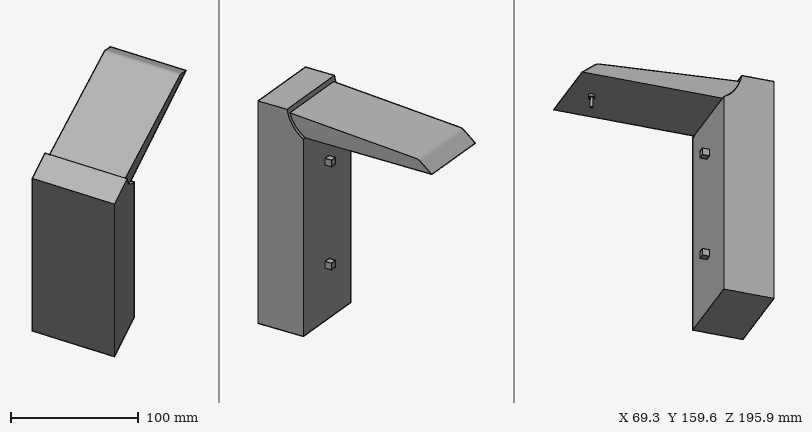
import cadquery as cq
import math

COLUMN_HEIGHT = 195.9
COLUMN_WIDTH = 69.3
COLUMN_DEPTH = 42.1
COLUMN_TOP_DEPTH = 27.0
SCOOP_RADIUS = 31.3

ARM_WIDTH = 63.9
ARM_REACH = 159.6
ARM_BOTTOM_Z = 173.7
ARM_ROOT_Y = COLUMN_TOP_DEPTH
ARM_ROOT_Z = 192.0
ARM_TAPER = 3.9
NOSE_ANGLE = 39.0
NOSE_BLEND_RADIUS = 7.8

PEG_SIDE = 5.9
PEG_LENGTH = 5.9
PEG_HEIGHTS = (49.5, 140.2)

PIN_Y = 139.6
PIN_HEAD_DIAMETER = 5.3
PIN_HEAD_HEIGHT = 2.2
PIN_DIAMETER = 2.4
PIN_LENGTH = 10.5


def extrude_across(profile, width):
    """Close a YZ profile and extrude it symmetrically about X = 0."""
    return profile.close().extrude(width / 2, both=True)


def make_column():
    """Block whose upper back edge is hollowed by a concave arc."""
    profile = (
        cq.Workplane("YZ")
        .lineTo(COLUMN_DEPTH, 0)
        .lineTo(COLUMN_DEPTH, ARM_BOTTOM_Z)
        .radiusArc((COLUMN_TOP_DEPTH, COLUMN_HEIGHT), SCOOP_RADIUS)
        .lineTo(0, COLUMN_HEIGHT)
    )
    return extrude_across(profile, COLUMN_WIDTH)


def make_arm():
    """Tapered beam with a sloping nose blended into its top face."""
    taper = math.tan(math.radians(ARM_TAPER))
    nose = math.tan(math.radians(NOSE_ANGLE))

    nose_z_at_root = ARM_BOTTOM_Z + nose * (ARM_REACH - ARM_ROOT_Y)
    top_length = (nose_z_at_root - ARM_ROOT_Z) / (nose - taper)
    corner_y = ARM_ROOT_Y + top_length
    corner_z = ARM_ROOT_Z - taper * top_length

    profile = (
        cq.Workplane("YZ")
        .moveTo(ARM_ROOT_Y, ARM_BOTTOM_Z)
        .lineTo(ARM_REACH, ARM_BOTTOM_Z)
        .lineTo(corner_y, corner_z)
        .lineTo(ARM_ROOT_Y, ARM_ROOT_Z)
    )
    arm = extrude_across(profile, ARM_WIDTH)
    corner = cq.selectors.NearestToPointSelector((0, corner_y, corner_z))
    return arm.edges("|X").edges(corner).fillet(NOSE_BLEND_RADIUS)


def make_peg(height):
    """Square peg standing out from the back of the column."""
    back = cq.Workplane("XZ", origin=(0, COLUMN_DEPTH, height))
    return back.rect(PEG_SIDE, PEG_SIDE).extrude(-PEG_LENGTH)


def make_pin():
    """Headed pin hanging from the underside of the arm."""
    underside = cq.Workplane("XY", origin=(0, PIN_Y, ARM_BOTTOM_Z))
    head = underside.circle(PIN_HEAD_DIAMETER / 2).extrude(-PIN_HEAD_HEIGHT)
    shank = underside.circle(PIN_DIAMETER / 2).extrude(-PIN_LENGTH)
    return head.union(shank)


result = make_column().union(make_arm()).union(make_pin())
for peg_height in PEG_HEIGHTS:
    result = result.union(make_peg(peg_height))